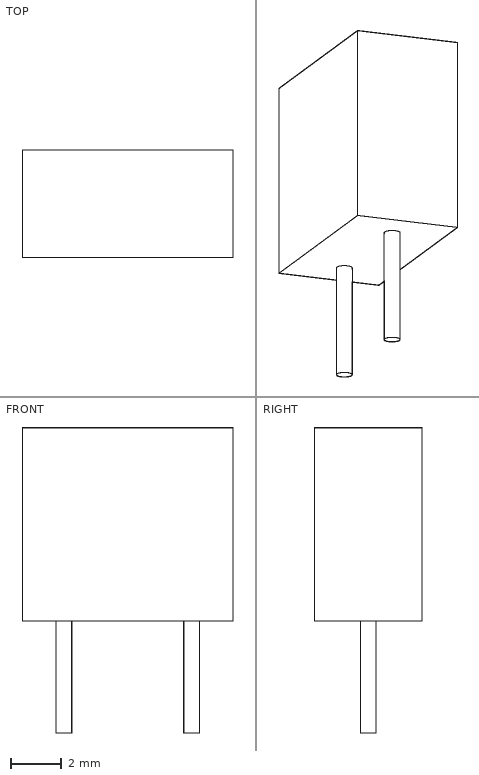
import cadquery as cq

housing_width = 8.36
housing_depth = 4.29
housing_height = 7.7

overall_height = 12.14
lead_diameter = 0.63
lead_spacing = 5.07
lead_length = overall_height - housing_height


def make_housing():
    """Plain block with its underside on Z = 0."""
    return cq.Workplane("XY").box(
        housing_width, housing_depth, housing_height, centered=(True, True, False)
    )


def make_lead(x_position):
    """Straight round lead hanging from the underside of the housing."""
    return cq.Workplane("XY").center(x_position, 0).circle(lead_diameter / 2).extrude(-lead_length)


housing = make_housing()
leads = [make_lead(side * lead_spacing / 2) for side in (-1, 1)]

result = cq.Compound.makeCompound([housing.val(), *[lead.val() for lead in leads]])